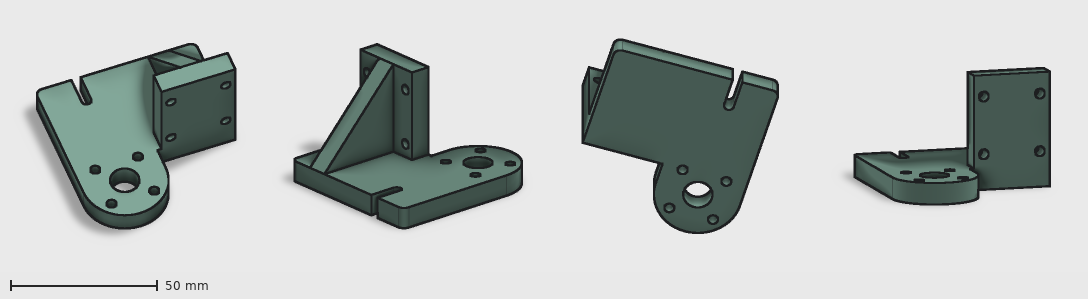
import cadquery as cq
import math

length = 61.5
width = 58.5
height = 39.7

plate_thickness = 7.5
lobe_radius = 15.0
pad_length = 38.5
corner_radius = 2.5
lobe_x = length - lobe_radius
lobe_y = lobe_radius

wall_thickness = 7.5
wall_width = 27.0
rib_thickness = 7.5
wall_height = height - plate_thickness
wall_start_x = pad_length - wall_thickness
wall_center_y = width - wall_width / 2

screw_diameter = 3.4
bore_diameter = 9.95
bolt_circle_diameter = 22.0
slot_straight_length = 10.0
wall_hole_spacing = 20.0
lower_wall_hole_height = 12.3
lobe_hole_spacing = bolt_circle_diameter / math.sqrt(2)
wall_hole_center_z = lower_wall_hole_height + wall_hole_spacing / 2


def make_plate():
    outline = (
        cq.Workplane("XY")
        .lineTo(lobe_x, 0)
        .threePointArc((length, lobe_y), (lobe_x, 2 * lobe_radius))
        .lineTo(pad_length, 2 * lobe_radius)
        .lineTo(pad_length, width)
        .lineTo(0, width)
        .close()
    )
    plate = outline.extrude(plate_thickness)
    return plate.edges("|Z and <X").fillet(corner_radius)


def make_wall():
    return (
        cq.Workplane("XY", origin=(wall_start_x, width - wall_width, plate_thickness))
        .box(wall_thickness, wall_width, wall_height, centered=False)
    )


def make_rib():
    return (
        cq.Workplane("XZ", origin=(0, wall_center_y, plate_thickness))
        .lineTo(wall_start_x, 0)
        .lineTo(wall_start_x, wall_height)
        .close()
        .extrude(rib_thickness / 2, both=True)
    )


def make_lobe_holes():
    lobe = cq.Workplane("XY", origin=(lobe_x, lobe_y, 0))
    bore = lobe.circle(bore_diameter / 2).extrude(plate_thickness)
    screws = (
        lobe.rarray(lobe_hole_spacing, lobe_hole_spacing, 2, 2)
        .circle(screw_diameter / 2)
        .extrude(plate_thickness)
    )
    return bore.union(screws)


def make_slot():
    slot_end = cq.Workplane("XY", origin=(slot_straight_length, lobe_y, 0))
    round_end = slot_end.circle(screw_diameter / 2).extrude(plate_thickness)
    straight = cq.Workplane("XY", origin=(0, lobe_y, 0)).box(
        slot_straight_length, screw_diameter, plate_thickness, centered=(False, True, False)
    )
    return straight.union(round_end)


def make_wall_holes():
    return (
        cq.Workplane("YZ", origin=(wall_start_x, wall_center_y, wall_hole_center_z))
        .rarray(wall_hole_spacing, wall_hole_spacing, 2, 2)
        .circle(screw_diameter / 2)
        .extrude(wall_thickness)
    )


body = make_plate().union(make_wall()).union(make_rib())
result = body.cut(make_lobe_holes()).cut(make_slot()).cut(make_wall_holes())